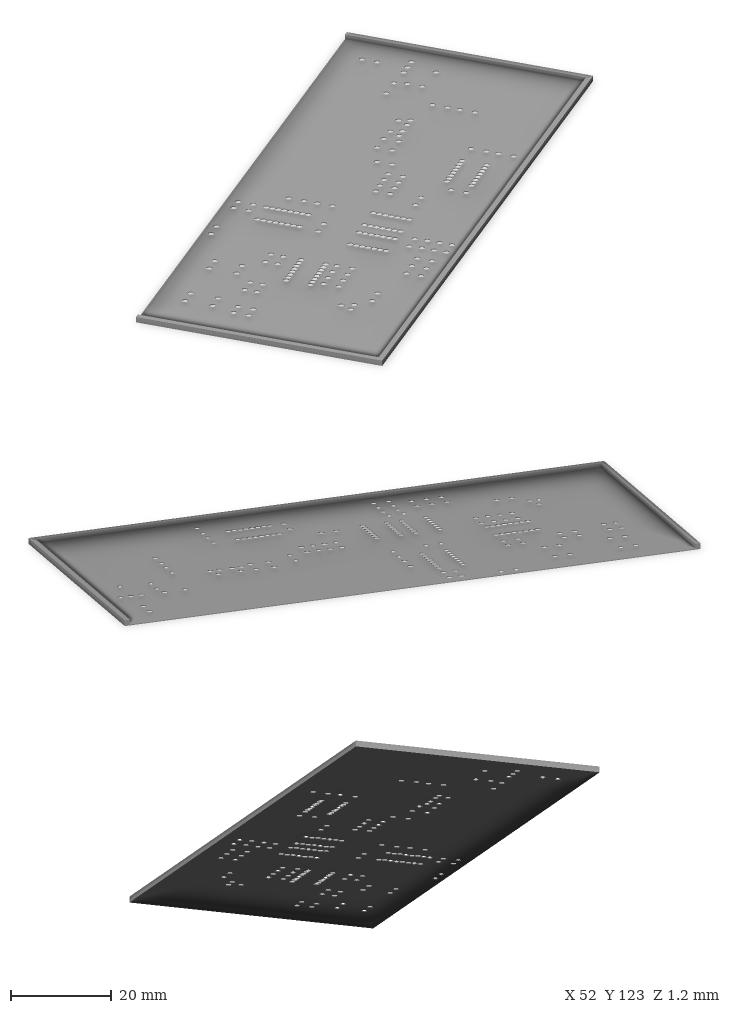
import cadquery as cq

length = 123.0
width = 52.0
height = 1.2
floor_thickness = 0.2
rim_width = 1.1

hole_diameter = 1.2
lead_gap = 3.2
short_lead_gap = 2.6
via_gap = 2.0

long_chip_pins = 8
short_chip_pins = 7
long_chip_span = 8.9
pin_pitch = long_chip_span / (long_chip_pins - 1)
chip_row_gap = 5.2

holes = []


def add_grid(x, y, columns=1, rows=1, dx=lead_gap, dy=lead_gap):
    """Add a grid of holes; (x, y) is its hole with the lowest X and Y."""
    for column in range(columns):
        for row in range(rows):
            holes.append((x + column * dx, y + row * dy))


def add_chip_along_x(x, y, pins):
    """Add a chip with its pin rows running along X."""
    add_grid(x, y, pins, 2, pin_pitch, chip_row_gap)


def add_chip_along_y(x, y, pins):
    """Add a chip with its pin rows running along Y."""
    add_grid(x, y, 2, pins, chip_row_gap, pin_pitch)


add_chip_along_y(12.7, 13.2, long_chip_pins)
add_chip_along_y(-3.7, -35.5, long_chip_pins)
add_chip_along_x(-17.5, -14.2, long_chip_pins)
add_chip_along_x(3.3, -9.1, short_chip_pins)
add_chip_along_x(3.3, -17.5, short_chip_pins)

add_grid(-4.4, 54.0)
add_grid(-4.8, 33.1)
add_grid(-4.8, 28.3)
add_grid(10.1, -41.3)

add_grid(-20.0, 53.9, columns=2)
add_grid(-8.2, 47.6, columns=2)
add_grid(-0.6, 41.3, columns=2)
add_grid(5.2, 41.3, columns=2)
add_grid(12.7, 27.2, columns=2)
add_grid(18.5, 27.2, columns=2)
add_grid(-5.0, 25.1, columns=2)
add_grid(-5.0, 21.3, columns=2)
add_grid(-3.1, 15.9, columns=2)
add_grid(14.6, 10.1, columns=2)
add_grid(-14.5, -4.0, columns=2)
add_grid(-8.5, -4.0, columns=2)

add_grid(10.1, 2.0, rows=2)
add_grid(14.6, -14.3, rows=2)
add_grid(-4.4, -14.6, rows=2)
add_grid(-24.1, -22.9, rows=2)
add_grid(15.3, -37.5, rows=2)
add_grid(-10.8, 42.6, rows=2, dy=4.4)
add_grid(-2.6, 32.0, rows=2, dy=via_gap)
add_grid(-2.6, 27.3, rows=2, dy=via_gap)
add_grid(12.4, -42.2, rows=2, dy=via_gap)

add_grid(-10.5, 51.8, rows=3, dy=2.2)
add_grid(0.7, 4.5, columns=2, rows=4, dx=3.1, dy=2.5)
add_grid(17.8, -24.7, columns=2, rows=3, dx=3.1)
add_grid(3.8, -34.3, columns=2, rows=4, dy=short_lead_gap)
add_grid(17.2, -14.0, columns=3, rows=2, dx=short_lead_gap)
add_grid(-23.5, -11.5, columns=2, rows=2, dy=short_lead_gap)
add_grid(-9.0, -51.4, columns=2, rows=2, dy=short_lead_gap)
for y in (-29.9, -42.0):
    add_grid(-10.1, y, columns=2, rows=2, dx=short_lead_gap)
for y in (-36.2, -50.2):
    add_grid(-19.7, y, columns=2, rows=2, dx=5.8)

body = cq.Workplane("XY").box(width, length, height, centered=(True, True, False))
recess = (
    cq.Workplane("XY", origin=(-rim_width / 2, 0, floor_thickness))
    .box(width - rim_width, length - 2 * rim_width, height, centered=(True, True, False))
)
drills = cq.Workplane("XY").pushPoints(holes).circle(hole_diameter / 2).extrude(height)
result = body.cut(recess).cut(drills)